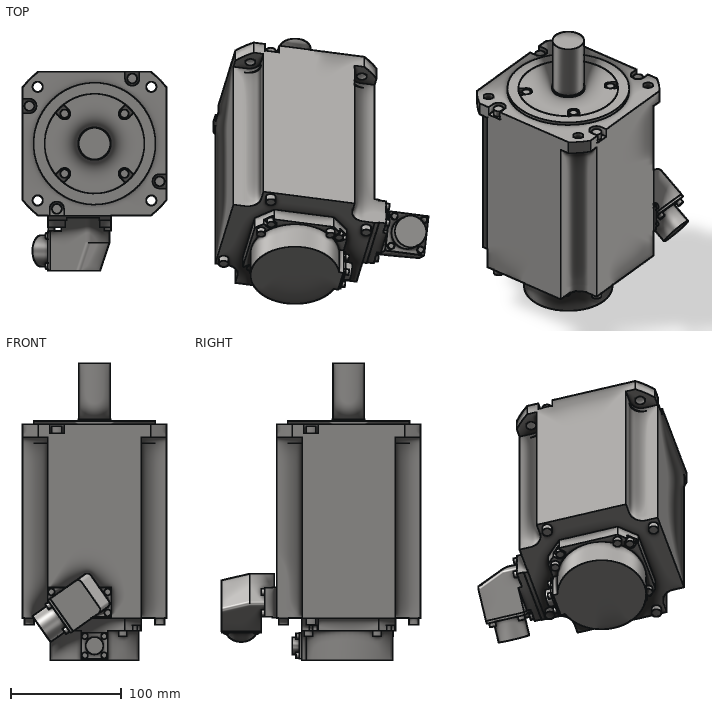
import cadquery as cq
import math

OVERLAP = 0.5
DIAGONAL = 45.0

flange_side = 130.0
flange_corner_dia = 165.0
flange_thickness = 12.0
pilot_dia = 110.0
pilot_height = 3.0
mount_hole_dia = 9.0
mount_circle_dia = 145.0

shaft_length = 55.0
shaft_dia = 28.5
collar_dia = 29.5
collar_height = 1.5
cover_dia = 90.0
cover_recess = 0.2
cover_screw_circle_radius = 38.2
cover_screw_head_dia = 7.6
cover_screw_head_height = 4.3
cover_pocket_radius = 5.2
cover_pocket_depth = 5.0

body_length = 175.0
wall_half = 42.0
flange_neck_depth = 17.0
neck_notch_radius = 10.5
body_notch_radius = 12.5

tie_bolt_position = (-34.0, -58.8)
tie_bolt_head_dia = 8.8
tie_bolt_head_height = 6.0
tie_slot_width = 13.0
tie_slot_depth = 8.0

rear_plate_side = 84.8
rear_plate_chamfer = 15.0
rear_plate_thickness = 11.5
rear_plate_bottom = -(body_length + rear_plate_thickness)
rear_head_dia = 7.6
rear_head_height = 5.0
plate_screw_position = (34.8, -28.7)
plate_notch_width = 10.0
encoder_screw_position = (25.5, -36.3)

encoder_dia = 80.0
motor_bottom = -213.0
encoder_pad_width = 24.0
encoder_pad_front = -rear_plate_side / 2
encoder_connector_side = 23.8
encoder_connector_thickness = 1.9
encoder_connector_z = -199.9
encoder_plug_dia = 15.8
encoder_plug_front = -51.0
encoder_screw_spacing = 17.3
encoder_screw_dia = 5.4
encoder_screw_height = 3.3

base_length = 57.0
base_center_x = base_length / 2 - wall_half
base_center_z = -160.8
gasket_height = 27.8
gasket_thickness = 4.0
base_height = 26.2
base_front = -75.5
base_screw_spacing_x = 50.8
base_screw_spacing_z = 18.8
base_screw_dia = 6.0
base_screw_height = 3.3

housing_tilt = 35.0
housing_half_length = 22.4
housing_half_width = 18.0
housing_back = -67.0
housing_shoulder = -78.8
housing_front = -114.8
housing_neck_left = -30.0
slope_start = -89.4
slope_run = 10.3
housing_edge_radius = 4.0
end_plate_thickness = 2.6
end_plate_inset = 0.15
plug_dia = 28.6
plug_length = 19.6
end_screw_spacing = 27.1
end_screw_dia = 5.8
end_screw_height = 4.0


def cylinder_z(dia, z_low, z_high, position=(0, 0)):
    """Upright cylinder between two heights."""
    return cq.Workplane("XY", origin=(*position, z_low)).circle(dia / 2).extrude(z_high - z_low)


def cylinder_front(dia, y_back, y_front, x, z):
    """Cylinder along -Y, from y_back out to y_front."""
    return cq.Workplane("XZ", origin=(x, y_back, z)).circle(dia / 2).extrude(y_back - y_front)


def box_between(low, high):
    """Box given by its two opposite corners."""
    size = [b - a for a, b in zip(low, high)]
    return cq.Workplane("XY").box(*size, centered=False).translate(low)


def quarter_turns(shape):
    """The shape and its three copies at quarter turns about Z."""
    copies = shape
    for turn in range(1, 4):
        copies = copies.union(shape.rotate((0, 0, 0), (0, 0, 1), 90 * turn))
    return copies


def corner_points(spacing_x, spacing_y):
    """Four corners of a centered rectangle."""
    return [(sx * spacing_x / 2, sy * spacing_y / 2) for sx in (-1, 1) for sy in (-1, 1)]


def corner_notches(radius, z_low, z_high):
    """Square notches with a rounded inner edge, cut from the four body corners."""
    reach = flange_side - wall_half
    notch = box_between((wall_half, wall_half, z_low), (reach, reach, z_high))
    notch = notch.edges("|Z and <X and <Y").fillet(radius)
    return quarter_turns(notch)


def make_body():
    """Square body and flange with notched corners below the flange."""
    blank = cq.Workplane("XY").rect(flange_side, flange_side).extrude(-body_length)
    flange_block = cq.Workplane("XY").rect(flange_side, flange_side).extrude(-flange_thickness)
    flange = flange_block.intersect(cylinder_z(flange_corner_dia, -flange_thickness, 0))
    body = blank.cut(flange_block)
    body = body.cut(corner_notches(neck_notch_radius, -flange_neck_depth, -flange_thickness))
    body = body.cut(corner_notches(body_notch_radius, -body_length, -flange_neck_depth))
    body = body.union(flange)
    mount_hole_spacing = mount_circle_dia * math.sin(math.radians(DIAGONAL))
    holes = (
        cq.Workplane("XY")
        .rect(mount_hole_spacing, mount_hole_spacing, forConstruction=True)
        .vertices()
        .circle(mount_hole_dia / 2)
        .extrude(-flange_thickness)
    )
    return body.cut(holes)


def cut_tie_bolt_slots(body):
    """U slots open to the flange sides, each with a bolt head, and heads on the rear face."""
    x, y = tie_bolt_position
    slot = cylinder_z(tie_slot_width, -tie_slot_depth, 0, tie_bolt_position)
    half_width = tie_slot_width / 2
    slot = slot.union(box_between((x - half_width, -flange_side, -tie_slot_depth), (x + half_width, y, 0)))
    front_head = cylinder_z(
        tie_bolt_head_dia,
        -tie_slot_depth - OVERLAP,
        tie_bolt_head_height - tie_slot_depth,
        tie_bolt_position,
    )
    rear_head = cylinder_z(
        tie_bolt_head_dia,
        -body_length - tie_bolt_head_height,
        -body_length + OVERLAP,
        tie_bolt_position,
    )
    return body.cut(quarter_turns(slot)).union(quarter_turns(front_head)).union(quarter_turns(rear_head))


def make_front_end():
    """Pilot, recessed cover, collar and shaft, and the cover's screw pockets and heads."""
    cover_top = pilot_height - cover_recess
    pilot = cylinder_z(pilot_dia, -OVERLAP, pilot_height)
    pilot = pilot.cut(cylinder_z(cover_dia, cover_top, pilot_height))

    pocket_floor = cover_top - cover_pocket_depth
    center = (cover_screw_circle_radius, 0)
    pocket = cylinder_z(2 * cover_pocket_radius, pocket_floor, pilot_height, center)
    pocket = pocket.union(
        box_between(
            (cover_screw_circle_radius, -cover_pocket_radius, pocket_floor),
            (cover_dia / 2, cover_pocket_radius, pilot_height),
        )
    )
    pocket = pocket.intersect(cylinder_z(cover_dia, pocket_floor, pilot_height))
    head = cylinder_z(
        cover_screw_head_dia, pocket_floor - OVERLAP, pocket_floor + cover_screw_head_height, center
    )
    pockets = quarter_turns(pocket.rotate((0, 0, 0), (0, 0, 1), DIAGONAL))
    heads = quarter_turns(head.rotate((0, 0, 0), (0, 0, 1), DIAGONAL))

    collar = cylinder_z(collar_dia, 0, pilot_height + collar_height)
    shaft = cylinder_z(shaft_dia, 0, shaft_length)
    return pilot.union(collar).union(shaft), pockets, heads


def make_rear_plate():
    """Plate with chamfered corners, notched for sunk screws, and screw heads below it."""
    plate = (
        cq.Workplane("XY", origin=(0, 0, rear_plate_bottom))
        .rect(rear_plate_side, rear_plate_side)
        .extrude(rear_plate_thickness + OVERLAP)
        .edges("|Z")
        .chamfer(rear_plate_chamfer)
    )
    notch_top = rear_plate_bottom + rear_head_height
    notch = cylinder_z(plate_notch_width, rear_plate_bottom, notch_top)
    notch = notch.union(
        box_between(
            (0, -plate_notch_width / 2, rear_plate_bottom),
            (rear_plate_chamfer, plate_notch_width / 2, notch_top),
        )
    )
    notch = notch.rotate((0, 0, 0), (0, 0, 1), -DIAGONAL).translate((*plate_screw_position, 0))
    sunk_head = cylinder_z(rear_head_dia, rear_plate_bottom, notch_top + OVERLAP, plate_screw_position)
    low_head = cylinder_z(
        rear_head_dia,
        rear_plate_bottom - rear_head_height,
        rear_plate_bottom + OVERLAP,
        encoder_screw_position,
    )
    plate = plate.cut(quarter_turns(notch))
    return plate.union(quarter_turns(sunk_head)).union(quarter_turns(low_head))


def make_encoder():
    """Round encoder housing with a flat pad that carries a small square connector."""
    encoder = cylinder_z(encoder_dia, motor_bottom, rear_plate_bottom + OVERLAP)
    half_pad = encoder_pad_width / 2
    pad = box_between(
        (-half_pad, encoder_pad_front, motor_bottom),
        (half_pad, 0, rear_plate_bottom + OVERLAP),
    )
    plate_front = encoder_pad_front - encoder_connector_thickness
    half_side = encoder_connector_side / 2
    connector = box_between(
        (-half_side, plate_front, encoder_connector_z - half_side),
        (half_side, 0, encoder_connector_z + half_side),
    )
    plug = cylinder_front(encoder_plug_dia, plate_front + OVERLAP, encoder_plug_front, 0, encoder_connector_z)
    encoder = encoder.union(pad).union(connector).union(plug)
    for dx, dz in corner_points(encoder_screw_spacing, encoder_screw_spacing):
        head = cylinder_front(
            encoder_screw_dia,
            plate_front + OVERLAP,
            plate_front - encoder_screw_height,
            dx,
            encoder_connector_z + dz,
        )
        encoder = encoder.union(head)
    return encoder


def make_connector_base():
    """Gasket and base plate on the -Y side, held by four screws."""
    side_face = -flange_side / 2
    left = base_center_x - base_length / 2
    right = base_center_x + base_length / 2
    gasket = box_between(
        (left, side_face - gasket_thickness, base_center_z - gasket_height / 2),
        (right, side_face + OVERLAP, base_center_z + gasket_height / 2),
    )
    plate = box_between(
        (left, base_front, base_center_z - base_height / 2),
        (right, side_face, base_center_z + base_height / 2),
    )
    base = gasket.union(plate)
    for dx, dz in corner_points(base_screw_spacing_x, base_screw_spacing_z):
        head = cylinder_front(
            base_screw_dia,
            base_front + OVERLAP,
            base_front - base_screw_height,
            base_center_x + dx,
            base_center_z + dz,
        )
        base = base.union(head)
    return base


def tilt_housing(shape):
    """Tilt a shape built along +X and move it to the middle of the connector base."""
    tilted = shape.rotate((0, 0, 0), (0, 1, 0), -housing_tilt)
    return tilted.translate((base_center_x, 0, base_center_z))


def make_neck_cutter():
    """Space behind the housing shoulder, left of the neck and below the base plate."""
    reach = housing_half_length + housing_half_width
    left = base_center_x - reach
    bottom = base_center_z - reach
    beside = box_between(
        (left, housing_shoulder, bottom),
        (housing_neck_left, housing_back, base_center_z + reach),
    )
    below = box_between(
        (left, housing_shoulder, bottom),
        (base_center_x + reach, housing_back, base_center_z - base_height / 2),
    )
    return beside.union(below)


def make_connector_housing():
    """Tilted housing with a sloped rounded end, upright neck, end plate and round plug."""
    plate_face = -housing_half_length
    plate_inner = plate_face + end_plate_thickness
    housing = (
        cq.Workplane("XY", origin=(0, 0, -housing_half_width))
        .moveTo(plate_inner, housing_front)
        .lineTo(housing_half_length - slope_run, housing_front)
        .lineTo(housing_half_length, slope_start)
        .lineTo(housing_half_length, housing_back)
        .lineTo(plate_inner, housing_back)
        .close()
        .extrude(2 * housing_half_width)
    )
    slope_middle = (housing_half_length - slope_run / 2, (housing_front + slope_start) / 2)
    end_middle = (housing_half_length, (slope_start + housing_back) / 2)
    rounded_edges = [
        housing.edges(cq.selectors.NearestToPointSelector((*middle, side))).val()
        for middle in (slope_middle, end_middle)
        for side in (-housing_half_width, housing_half_width)
    ]
    housing = housing.newObject(rounded_edges).fillet(housing_edge_radius)

    housing = tilt_housing(housing).cut(make_neck_cutter())

    half_plate = housing_half_width - end_plate_inset
    end_plate = box_between(
        (plate_face, housing_front + end_plate_inset, -half_plate),
        (plate_inner + OVERLAP, housing_shoulder - end_plate_inset, half_plate),
    )
    plug_y = (housing_front + housing_shoulder) / 2
    end_face = cq.Workplane("YZ", origin=(plate_face + OVERLAP, plug_y, 0))
    plug = end_face.circle(plug_dia / 2).extrude(-plug_length - OVERLAP)
    heads = (
        end_face.pushPoints(corner_points(end_screw_spacing, end_screw_spacing))
        .circle(end_screw_dia / 2)
        .extrude(-end_screw_height - OVERLAP)
    )
    return housing.union(tilt_housing(end_plate.union(plug).union(heads)))


front_end, cover_pockets, cover_heads = make_front_end()
motor = cut_tie_bolt_slots(make_body())
motor = motor.union(front_end).cut(cover_pockets).union(cover_heads)
motor = motor.union(make_rear_plate()).union(make_encoder())
result = motor.union(make_connector_base()).union(make_connector_housing())